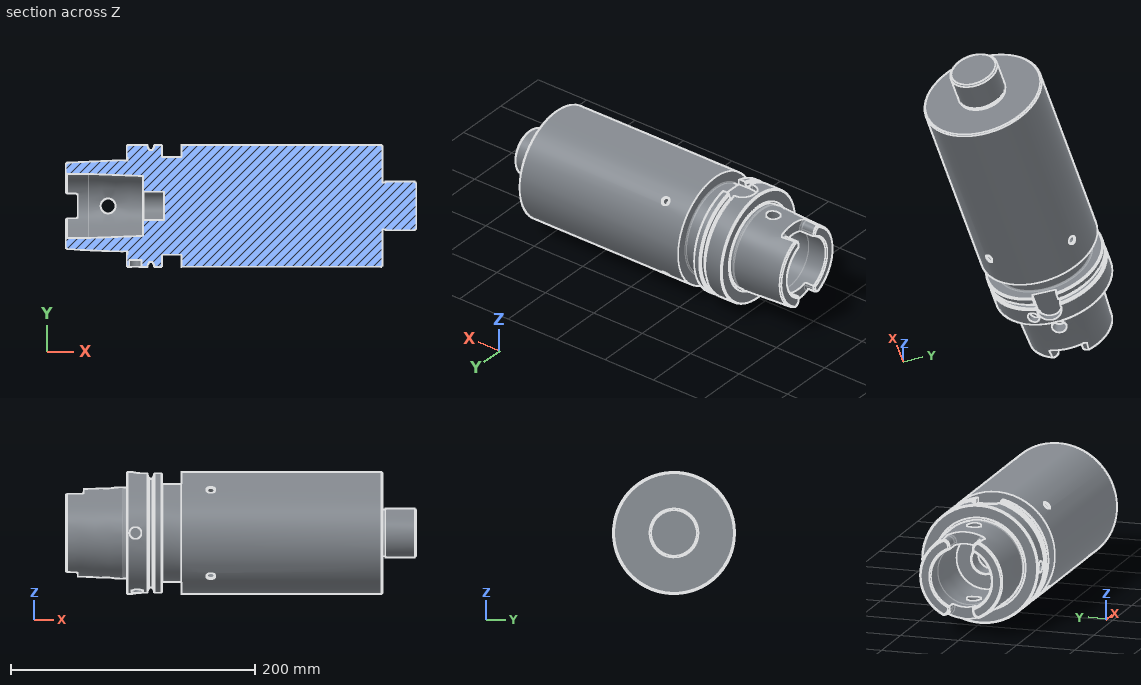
import cadquery as cq


total_length = 287.0
taper_end_x = 46.8
flange_start_x = 50.0
flange_end_x = flange_start_x + 29.0
body_start_x = 94.7
body_end_x = 259.5
spigot_start_x = body_end_x + 2.3

body_radius = 100.0 / 2
flange_radius = body_radius
shank_end_radius = 35.5
taper_radius = 37.5
neck_radius = 40.2
spigot_radius = 20.0
spigot_relief_radius = 19.2

shank_end_chamfer = 1.1
flange_chamfer = 1.0
body_chamfer = 1.1
spigot_chamfer = 1.5
neck_fillet = 1.0
undercut_depth = 0.3
undercut_run = 1.5
face_recess_radius = 39.3
face_recess_depth = 1.0

groove_start_x = 66.5
groove_end_x = 73.0
groove_rim_chamfer = 0.72
groove_flank_radius = 48.2
groove_floor_half_width = 1.1
groove_floor_radius = 46.0

bore_radius = 26.0
bore_cylinder_end_x = 18.6
bore_floor_radius = 24.5
bore_floor_x = 63.0
center_hole_radius = 11.5
center_hole_depth = 17.2
center_hole_chamfer = 0.5

drive_slot_half_width = 10.0
drive_slot_round = 5.5
drive_slot_round_start_z = 26.7
drive_slot_shoulder = 5.7
drive_slot_floor_fillet = 1.5
upper_drive_slot_depth = 14.5
lower_drive_slot_depth = 9.8

cross_hole_x = 34.7
cross_hole_radius = 6.0

pocket_start_x = 54.0
pocket_floor_z = 44.0
upper_pocket_width = 21.8
lower_pocket_width = 20.0

side_hole_x = 57.0
side_hole_angle = 90.0
lower_hole_x = 58.5
lower_hole_angle = 162.5
flange_hole_radius = 5.0
flange_hole_depth = 5.7
body_hole_x = 118.8
body_hole_radius = 3.0
body_hole_countersink = 1.0
body_hole_depth = 8.5
body_hole_count = 4
first_body_hole_angle = 45.0

chamfer_angle = 45
cut_margin = 3.0


def turned_blank():
    """Outside of the holder as one turned (x, radius) outline."""
    groove_middle_x = (groove_start_x + groove_end_x) / 2
    undercut_radius = taper_radius - undercut_depth
    face_recess_x = flange_start_x + face_recess_depth
    return (
        cq.Workplane("XY")
        .polyline([
            (0, 0),
            (0, shank_end_radius - shank_end_chamfer),
            (shank_end_chamfer, shank_end_radius),
            (taper_end_x, taper_radius),
            (taper_end_x + undercut_run, undercut_radius),
            (face_recess_x, undercut_radius),
            (face_recess_x, face_recess_radius),
            (flange_start_x, face_recess_radius),
            (flange_start_x, flange_radius - flange_chamfer),
            (flange_start_x + flange_chamfer, flange_radius),
            (groove_start_x, flange_radius),
            (groove_start_x + groove_rim_chamfer, flange_radius - groove_rim_chamfer),
            (groove_start_x + groove_rim_chamfer, groove_flank_radius),
            (groove_middle_x - groove_floor_half_width, groove_floor_radius),
            (groove_middle_x + groove_floor_half_width, groove_floor_radius),
            (groove_end_x - groove_rim_chamfer, groove_flank_radius),
            (groove_end_x - groove_rim_chamfer, flange_radius - groove_rim_chamfer),
            (groove_end_x, flange_radius),
            (flange_end_x - flange_chamfer, flange_radius),
            (flange_end_x, flange_radius - flange_chamfer),
            (flange_end_x, neck_radius + neck_fillet),
        ])
        .radiusArc((flange_end_x + neck_fillet, neck_radius), -neck_fillet)
        .lineTo(body_start_x - neck_fillet, neck_radius)
        .radiusArc((body_start_x, neck_radius + neck_fillet), -neck_fillet)
        .polyline([
            (body_start_x, body_radius),
            (body_end_x - body_chamfer, body_radius),
            (body_end_x, body_radius - body_chamfer),
            (body_end_x, spigot_relief_radius),
            (spigot_start_x, spigot_relief_radius),
            (spigot_start_x, spigot_radius),
            (total_length - spigot_chamfer, spigot_radius),
            (total_length, spigot_radius - spigot_chamfer),
            (total_length, 0),
        ], includeCurrent=True)
        .close()
        .revolve(360, (0, 0, 0), (1, 0, 0))
    )


def shank_bore():
    """Cylindrical mouth, slightly tapered cavity and a blind center hole."""
    center_hole_end_x = bore_floor_x + center_hole_depth
    outline = [
        (0, 0),
        (0, bore_radius + shank_end_chamfer),
        (shank_end_chamfer, bore_radius),
        (bore_cylinder_end_x, bore_radius),
        (bore_floor_x, bore_floor_radius),
        (bore_floor_x, center_hole_radius + center_hole_chamfer),
        (bore_floor_x + center_hole_chamfer, center_hole_radius),
        (center_hole_end_x, center_hole_radius),
        (center_hole_end_x, 0),
    ]
    return cq.Workplane("XY").polyline(outline).close().revolve(360, (0, 0, 0), (1, 0, 0))


def drive_slot(depth):
    """Slot above the axis whose walls roll outward into flat shoulders."""
    shoulder_start_y = drive_slot_half_width + drive_slot_round
    shoulder_end_y = shoulder_start_y + drive_slot_shoulder
    shoulder_z = drive_slot_round_start_z + drive_slot_round
    slot_top_z = taper_radius + cut_margin
    outline = (
        cq.Workplane("YZ")
        .moveTo(-drive_slot_half_width, 0)
        .lineTo(drive_slot_half_width, 0)
        .lineTo(drive_slot_half_width, drive_slot_round_start_z)
        .radiusArc((shoulder_start_y, shoulder_z), drive_slot_round)
        .lineTo(shoulder_end_y, shoulder_z)
        .lineTo(shoulder_end_y, slot_top_z)
        .lineTo(-shoulder_end_y, slot_top_z)
        .lineTo(-shoulder_end_y, shoulder_z)
        .lineTo(-shoulder_start_y, shoulder_z)
        .radiusArc((-drive_slot_half_width, drive_slot_round_start_z), drive_slot_round)
        .close()
    )
    slot = (
        outline.extrude(depth)
        .faces(">X")
        .edges("(not >Z) and (not <Z)")
        .fillet(drive_slot_floor_fillet)
    )
    mouth_chamfer = (
        outline.toPending()
        .offset2D(shank_end_chamfer)
        .extrude(shank_end_chamfer, taper=chamfer_angle)
    )
    return slot.union(mouth_chamfer)


def gripper_pocket(width):
    """Flat-floored pocket with a round end, open toward the neck."""
    half_width = width / 2
    round_center_x = pocket_start_x + half_width
    return (
        cq.Workplane("XY")
        .workplane(offset=pocket_floor_z)
        .moveTo(flange_end_x, -half_width)
        .lineTo(round_center_x, -half_width)
        .threePointArc((pocket_start_x, 0), (round_center_x, half_width))
        .lineTo(flange_end_x, half_width)
        .close()
        .extrude(flange_radius + cut_margin - pocket_floor_z)
    )


def turned_over(tool):
    """Rotate a cutter from the top of the part to the bottom."""
    return tool.rotate((0, 0, 0), (1, 0, 0), 180)


def radial_hole(x, radius, depth, angle, countersink=0.0):
    """Blind hole toward the axis; angle is measured about X from +Z toward -Y."""
    hole = (
        cq.Workplane("XY")
        .workplane(offset=body_radius - depth)
        .center(x, 0)
        .circle(radius)
        .extrude(depth + cut_margin)
    )
    if countersink > 0:
        mouth_cone = (
            cq.Workplane("XY")
            .workplane(offset=body_radius - countersink)
            .center(x, 0)
            .circle(radius)
            .extrude(countersink + cut_margin, taper=-chamfer_angle)
        )
        hole = hole.union(mouth_cone)
    return hole.rotate((0, 0, 0), (1, 0, 0), angle)


result = turned_blank().cut(shank_bore())

result = result.cut(drive_slot(upper_drive_slot_depth))
result = result.cut(turned_over(drive_slot(lower_drive_slot_depth)))

cross_hole = (
    cq.Workplane("XY")
    .center(cross_hole_x, 0)
    .circle(cross_hole_radius)
    .extrude(taper_radius + cut_margin, both=True)
)
result = result.cut(cross_hole)

result = result.cut(gripper_pocket(upper_pocket_width))
result = result.cut(turned_over(gripper_pocket(lower_pocket_width)))

flange_holes = [(side_hole_x, side_hole_angle), (lower_hole_x, lower_hole_angle)]
for hole_x, hole_angle in flange_holes:
    result = result.cut(radial_hole(hole_x, flange_hole_radius, flange_hole_depth, hole_angle))

for index in range(body_hole_count):
    hole_angle = first_body_hole_angle + index * 360 / body_hole_count
    body_hole = radial_hole(
        body_hole_x, body_hole_radius, body_hole_depth, hole_angle, body_hole_countersink
    )
    result = result.cut(body_hole)